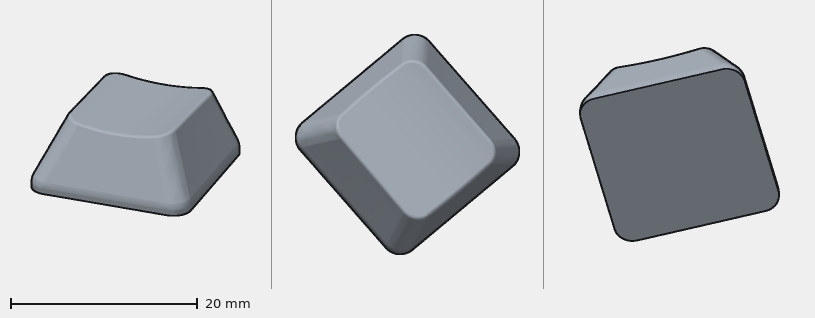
import cadquery as cq
import math

base_size = 18.16
base_corner_radius = 2.0
skirt_height = 0.67

shoulder_height = 0.67
shoulder_top = skirt_height + shoulder_height

side_slope = 0.47
front_slope = 0.51
back_slope = 0.09
wall_height = 7.26
top_corner_radius = 1.9

dish_radius = 25.42
dish_valley_height = 6.8
dish_tilt = 3.2
rim_radius = 0.36


def outline(run, height, radius, tilt=0):
    """Rounded rectangle inset from the base by each wall slope times the run."""
    width = base_size - 2 * side_slope * run
    depth = base_size - (front_slope + back_slope) * run
    center_y = (front_slope - back_slope) * run / 2
    sketch = cq.Sketch().rect(width, depth).vertices().fillet(radius)
    center_z = height - center_y * math.tan(math.radians(tilt))
    location = cq.Location(cq.Vector(0, center_y, center_z), cq.Vector(1, 0, 0), -tilt)
    return sketch.moved(location)


def make_skirt():
    """Upright band around the bottom."""
    base = outline(0, 0, base_corner_radius)
    return cq.Workplane("XY").placeSketch(base).extrude(skirt_height)


def make_shoulder():
    """Parabolic band, upright at its foot and at the wall slope at its head."""
    sections = []
    for fraction in (0, 0.5, 1):
        run = shoulder_height * fraction**2 / 2
        height = skirt_height + shoulder_height * fraction
        sections.append(outline(run, height, base_corner_radius))
    return cq.Workplane("XY").placeSketch(*sections).loft()


def make_walls():
    """Four sloping walls whose upper outline is tilted with the dish."""
    foot_run = shoulder_height / 2
    foot = outline(foot_run, shoulder_top, base_corner_radius)
    head = outline(foot_run + wall_height, shoulder_top + wall_height, top_corner_radius, dish_tilt)
    return cq.Workplane("XY").placeSketch(foot, head).loft(ruled=True)


def make_dish():
    """Long cylinder whose lowest line forms the valley of the top."""
    tilt = math.radians(dish_tilt)
    axis = cq.Vector(0, math.cos(tilt), -math.sin(tilt))
    axis_height = dish_valley_height + dish_radius / math.cos(tilt)
    start = cq.Vector(0, 0, axis_height) - axis * base_size
    return cq.Workplane(cq.Solid.makeCylinder(dish_radius, 2 * base_size, start, axis))


body = make_skirt().union(make_shoulder()).union(make_walls()).cut(make_dish())

rim_edges = cq.selectors.BoxSelector(
    (-base_size, -base_size, dish_valley_height / 2),
    (base_size, base_size, base_size),
    boundingbox=True,
)
result = body.edges(rim_edges).fillet(rim_radius)